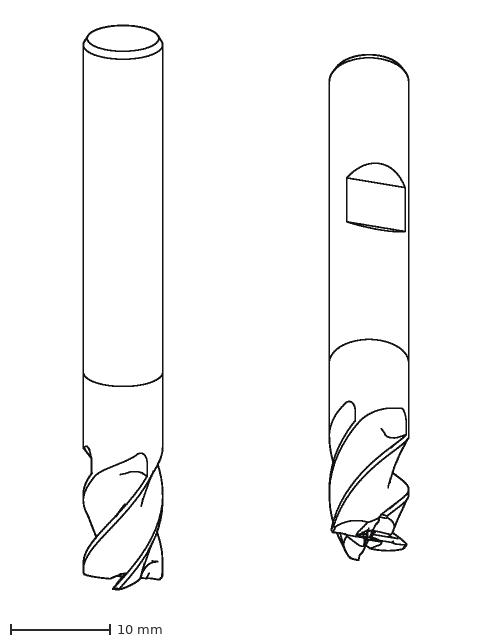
import cadquery as cq
import math


DIAMETER = 8.0
RADIUS = DIAMETER / 2
TOTAL_LENGTH = 58.0
HEAD_LENGTH = 22.0
FLUTE_LENGTH = 12.0

CHAMFER_HEIGHT = 0.7
CHAMFER_WIDTH = 0.4
FLAT_DEPTH = 1.4
FLAT_LENGTH = 5.5
FLAT_CENTRE = TOTAL_LENGTH - 18.0

TOOTH_COUNT = 4
TOOTH_PITCH = 360 / TOOTH_COUNT
HELIX_LEAD = 30.0
LAND_ANGLE = 9.0
HEEL_RADIUS = 2.3
HEEL_ANGLE = 63.0
BACK_BULGE = 0.4
RAKE_ANGLE = 8.0
RAKE_DEPTH = 0.95

RUNOUT_HEIGHT = 2.8
RUNOUT_SHIFT = 2.0
RUNOUT_ANGLE = -8.0

CORNER_CHAMFER = 0.2
END_LAND_WIDTH = 0.6
END_RELIEF_ANGLE = 15.0
GASH_HEIGHT = 1.5
GASH_WIDTH = 1.4
GASH_LEAN = 1.15
GASH_START = 0.2

OVERCUT = 1.0


def polar(radius, angle):
    return (radius * math.cos(math.radians(angle)), radius * math.sin(math.radians(angle)))


def rake_root(edge_angle):
    """Inner end of the straight rake face of the tooth at edge_angle."""
    edge_x, edge_y = polar(RADIUS, edge_angle)
    step_x, step_y = polar(RAKE_DEPTH, edge_angle - RAKE_ANGLE)
    return (edge_x - step_x, edge_y - step_y)


def back_middle(edge_angle):
    """Middle of the convex tooth back between the outer land and the heel."""
    land_x, land_y = polar(RADIUS, edge_angle + LAND_ANGLE)
    heel_x, heel_y = polar(HEEL_RADIUS, edge_angle + HEEL_ANGLE)
    chord_x = heel_x - land_x
    chord_y = heel_y - land_y
    bulge_ratio = BACK_BULGE / math.hypot(chord_x, chord_y)
    return (
        (land_x + heel_x) / 2 + bulge_ratio * chord_y,
        (land_y + heel_y) / 2 - bulge_ratio * chord_x,
    )


def add_flute(outline, edge_angle):
    """From a cutting edge: rake face, flute floor and back of the preceding tooth."""
    previous_edge = edge_angle - TOOTH_PITCH
    return (
        outline.lineTo(*rake_root(edge_angle))
        .tangentArcPoint(polar(HEEL_RADIUS, previous_edge + HEEL_ANGLE), relative=False)
        .threePointArc(back_middle(previous_edge), polar(RADIUS, previous_edge + LAND_ANGLE))
    )


def make_fluted_length():
    outline = cq.Workplane("XY").moveTo(*polar(RADIUS, 0))
    for tooth in range(TOOTH_COUNT):
        edge_angle = -tooth * TOOTH_PITCH
        previous_edge = edge_angle - TOOTH_PITCH
        outline = add_flute(outline, edge_angle)
        outline = outline.threePointArc(
            polar(RADIUS, previous_edge + LAND_ANGLE / 2), polar(RADIUS, previous_edge)
        )
    twist = 360 * FLUTE_LENGTH / HELIX_LEAD
    return outline.close().twistExtrude(FLUTE_LENGTH, twist)


def runout_outline(plane, edge_angle):
    previous_edge = edge_angle - TOOTH_PITCH
    reach = RADIUS + OVERCUT
    outline = cq.Workplane(plane).moveTo(*polar(RADIUS, edge_angle))
    outline = add_flute(outline, edge_angle)
    return (
        outline.lineTo(*polar(reach, previous_edge + LAND_ANGLE))
        .threePointArc(polar(reach, edge_angle - TOOTH_PITCH / 2), polar(reach, edge_angle))
        .close()
    )


def make_runout(edge_angle):
    """Flute section moved upward and outward until it leaves the cylinder."""
    shift_x, shift_y = polar(RUNOUT_SHIFT, edge_angle + RUNOUT_ANGLE)
    lower = runout_outline(cq.Plane(origin=(0, 0, FLUTE_LENGTH)), edge_angle)
    upper = runout_outline(cq.Plane(origin=(shift_x, shift_y, FLUTE_LENGTH + RUNOUT_HEIGHT)), edge_angle)
    return cq.Workplane(cq.Solid.makeLoft([lower.val(), upper.val()], True))


def make_corner_cutter():
    """Ring that chamfers the outer corners of the teeth."""
    reach = RADIUS + OVERCUT
    return (
        cq.Workplane("XZ")
        .moveTo(RADIUS - CORNER_CHAMFER, 0)
        .lineTo(RADIUS - CORNER_CHAMFER, -OVERCUT)
        .lineTo(reach, -OVERCUT)
        .lineTo(reach, CORNER_CHAMFER + OVERCUT)
        .close()
        .revolve(360, (0, 0, 0), (0, 1, 0))
    )


def make_end_relief():
    """Wedge that slopes the end of the tooth on +X up behind its land."""
    reach = RADIUS + OVERCUT
    rise = (reach - END_LAND_WIDTH) * math.tan(math.radians(END_RELIEF_ANGLE))
    return (
        cq.Workplane("YZ")
        .polyline([(END_LAND_WIDTH, 0), (reach, rise), (reach, -OVERCUT), (END_LAND_WIDTH, -OVERCUT)])
        .close()
        .extrude(reach)
    )


def make_gash():
    """Notch in the core ahead of the end edge of the tooth on +X."""
    return (
        cq.Workplane("YZ", origin=(GASH_START, 0, 0))
        .polyline([(0, -OVERCUT), (0, 0), (GASH_LEAN, GASH_HEIGHT), (-GASH_WIDTH, 0), (-GASH_WIDTH, -OVERCUT)])
        .close()
        .extrude(RADIUS)
    )


def make_cutting_head():
    neck = cq.Workplane("XY").workplane(offset=FLUTE_LENGTH).circle(RADIUS).extrude(HEAD_LENGTH - FLUTE_LENGTH)
    first_edge = 360 * FLUTE_LENGTH / HELIX_LEAD
    for tooth in range(TOOTH_COUNT):
        neck = neck.cut(make_runout(first_edge + tooth * TOOTH_PITCH))
    teeth = make_fluted_length().cut(make_corner_cutter())
    for tooth in range(TOOTH_COUNT):
        for cutter in (make_end_relief(), make_gash()):
            teeth = teeth.cut(cutter.rotate((0, 0, 0), (0, 0, 1), tooth * TOOTH_PITCH))
    return teeth.union(neck, clean=False)


def make_shank():
    shank_length = TOTAL_LENGTH - HEAD_LENGTH
    profile = (
        cq.Workplane("XZ", origin=(0, 0, HEAD_LENGTH))
        .lineTo(RADIUS, 0)
        .lineTo(RADIUS, shank_length - CHAMFER_HEIGHT)
        .lineTo(RADIUS - CHAMFER_WIDTH, shank_length)
        .lineTo(0, shank_length)
        .close()
    )
    shank = profile.revolve(360, (0, 0, 0), (0, 1, 0))
    flat_y = RADIUS - FLAT_DEPTH
    half_floor = FLAT_LENGTH / 2
    half_mouth = half_floor + FLAT_DEPTH
    flat_cutter = (
        cq.Workplane("YZ", origin=(0, 0, FLAT_CENTRE))
        .polyline([(flat_y, -half_floor), (RADIUS, -half_mouth), (RADIUS, half_mouth), (flat_y, half_floor)])
        .close()
        .extrude(RADIUS, both=True)
    )
    return shank.cut(flat_cutter)


shank = make_shank()
cutting_head = make_cutting_head()
result = cq.Compound.makeCompound([shank.val(), cutting_head.val()])